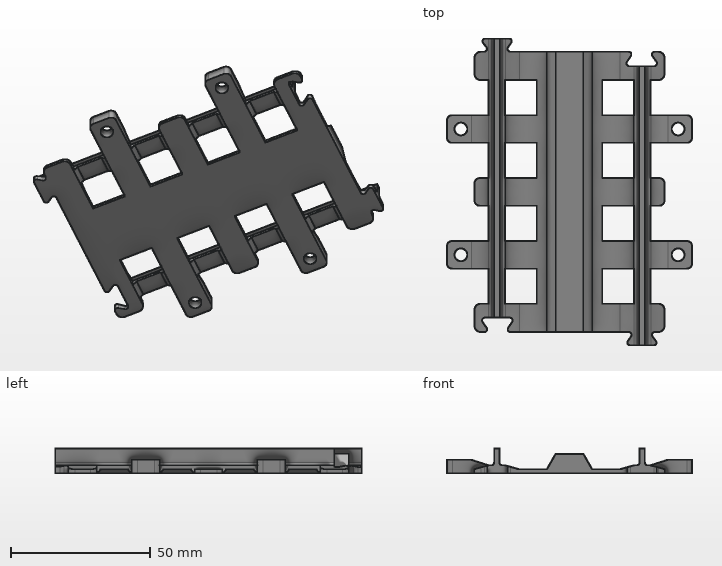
import cadquery as cq

track_length = 110
bed_length = 100.5
end_y = track_length / 2
bed_end_y = bed_length / 2

rail_x = 26.1
rail_height = 9.0
web_width = 2.0
web_fillet = 1.0
foot_width = 5.9
foot_height = 3.0
foot_inner_x = rail_x - foot_width / 2
foot_outer_x = rail_x + foot_width / 2

plate_thickness = 1.5
plate_half_width = 11.8
rib_height = 7.0
rib_base_width = 16.3
rib_top_width = 10.0

sleeper_width = 10.0
sleeper_corner = 2.0
sleeper_half_length = 34.1
slope_start_x = 18.0
end_sleeper_width = 10.2
end_sleeper_corner = 2.3
end_sleeper_y = bed_end_y - end_sleeper_width / 2

lug_sleeper_y = 22.5
lug_half_length = 44
lug_height = 5.0
lug_flat_x = 35.2
screw_hole_x = 38.9
screw_hole_diameter = 4.5

tip_outer_half_width = 6.2
tip_inner_half_width = 6.3
socket_tip_inner_half_width = 6.5
neck_outer_half_width = 2.5
neck_inner_half_width = 3.0
dovetail_round = 1.0
socket_depth = 5.2
socket_floor_y = bed_end_y - socket_depth


def both_ends(shape):
    """Return the shape together with its copy half a turn about Z."""
    return shape.union(shape.rotate((0, 0, 0), (0, 0, 1), 180))


def along_track(profile, start_y, stop_y):
    """Extrude a closed XZ point list from start_y to stop_y."""
    wire = cq.Workplane("XZ", origin=(0, stop_y, 0)).polyline(profile).close()
    return wire.extrude(stop_y - start_y)


def mirrored(right_half):
    """Complete an XZ outline whose right half runs from top to bottom."""
    return right_half + [(-x, z) for x, z in reversed(right_half)]


def sleeper_plan(half_length, center_y, height, width=sleeper_width, corner=sleeper_corner):
    """Upright block with the rounded outline of a sleeper."""
    block = cq.Workplane("XY").center(0, center_y).rect(2 * half_length, width)
    return block.extrude(height).edges("|Z").fillet(corner)


def end_sleeper_section():
    """Cross-section of the end sleepers, sloping down on both sides of each rail foot."""
    profile = mirrored([
        (slope_start_x, plate_thickness),
        (foot_inner_x, foot_height),
        (foot_outer_x, foot_height),
        (sleeper_half_length, plate_thickness),
        (sleeper_half_length, 0),
    ])
    return along_track(profile, -end_y, end_y)


def lug_sleeper(center_y):
    """Long sleeper, thin between the rails and rising outside them to a drilled lug."""
    profile = mirrored([
        (foot_inner_x, plate_thickness),
        (foot_inner_x, foot_height),
        (foot_outer_x, foot_height),
        (lug_flat_x, lug_height),
        (lug_half_length, lug_height),
        (lug_half_length, 0),
    ])
    plan = sleeper_plan(lug_half_length, center_y, lug_height)
    section = along_track(profile, -end_y, end_y)
    holes = cq.Workplane("XY").pushPoints([(-screw_hole_x, center_y), (screw_hole_x, center_y)])
    return plan.intersect(section).cut(holes.circle(screw_hole_diameter / 2).extrude(lug_height))


def rail():
    """Left rail, from its socket end at -Y to its tongue end at +Y."""
    length = end_y + socket_floor_y
    middle_y = (end_y - socket_floor_y) / 2
    foot = cq.Workplane("XY").box(foot_width, length, foot_height, centered=(True, True, False))
    web = cq.Workplane("XY").box(web_width, length, rail_height, centered=(True, True, False))
    root = cq.selectors.BoxSelector(
        (-web_width, -length, foot_height - web_fillet),
        (web_width, length, foot_height + web_fillet),
    )
    solid = foot.union(web).edges("|Y").edges(root).fillet(web_fillet)
    return solid.translate((-rail_x, middle_y, 0))


def rail_underpass(start_y, stop_y):
    """Tunnel under both rails, narrowing upward at 45 degrees between two sleepers."""
    profile = [
        (start_y, 0),
        (stop_y, 0),
        (stop_y - plate_thickness, plate_thickness),
        (start_y + plate_thickness, plate_thickness),
    ]
    tunnel = cq.Workplane("YZ").polyline(profile).close()
    return tunnel.extrude(sleeper_half_length, both=True)


def dovetail_corners(side, root_y, tip_y, inner_half_width):
    """Sharp corners of a dovetail on the left (-1) or right (1) rail, from neck to wide end."""
    outline = [
        (rail_x + neck_outer_half_width, root_y),
        (rail_x + tip_outer_half_width, tip_y),
        (rail_x - inner_half_width, tip_y),
        (rail_x - neck_inner_half_width, root_y),
    ]
    return [(side * x, y) for x, y in outline]


def dovetail(corners):
    return cq.Workplane("XY").polyline(corners).close().extrude(rail_height)


def round_upright_edge(plan, x, y):
    """Round the vertical edge of the plan that stands at (x, y)."""
    reach = 0.1
    low = (x - reach, y - reach, 0)
    high = (x + reach, y + reach, rail_height)
    edge = plan.edges("|Z").edges(cq.selectors.BoxSelector(low, high))
    return edge.fillet(dovetail_round)


def end_sleeper():
    """Sleeper at the +Y end, with the left tongue added and the right socket removed."""
    tongue = dovetail_corners(-1, bed_end_y, end_y, tip_inner_half_width)
    socket = dovetail_corners(1, bed_end_y, socket_floor_y, socket_tip_inner_half_width)
    plan = sleeper_plan(
        sleeper_half_length, end_sleeper_y, rail_height, end_sleeper_width, end_sleeper_corner
    )
    plan = plan.union(dovetail(tongue)).cut(dovetail(socket))
    for x, y in tongue + socket:
        plan = round_upright_edge(plan, x, y)
    return plan.intersect(end_sleeper_section())


def center_plate():
    size = (2 * plate_half_width, bed_length, plate_thickness)
    return cq.Workplane("XY").box(*size, centered=(True, True, False))


def rib():
    profile = mirrored([
        (rib_top_width / 2, rib_height),
        (rib_base_width / 2, plate_thickness),
        (rib_base_width / 2, 0),
    ])
    return along_track(profile, -bed_end_y, bed_end_y)


def rails_with_underpasses():
    """Both rails, open underneath in each gap between neighbouring sleepers."""
    rails = both_ends(rail())
    half_sleeper = sleeper_width / 2
    gaps = [
        (half_sleeper, lug_sleeper_y - half_sleeper),
        (lug_sleeper_y + half_sleeper, bed_end_y - end_sleeper_width),
    ]
    for start_y, stop_y in gaps:
        rails = rails.cut(both_ends(rail_underpass(start_y, stop_y)))
    return rails


result = (
    rails_with_underpasses()
    .union(center_plate())
    .union(rib())
    .union(sleeper_plan(sleeper_half_length, 0, plate_thickness))
    .union(both_ends(lug_sleeper(lug_sleeper_y)))
    .union(both_ends(end_sleeper()))
)